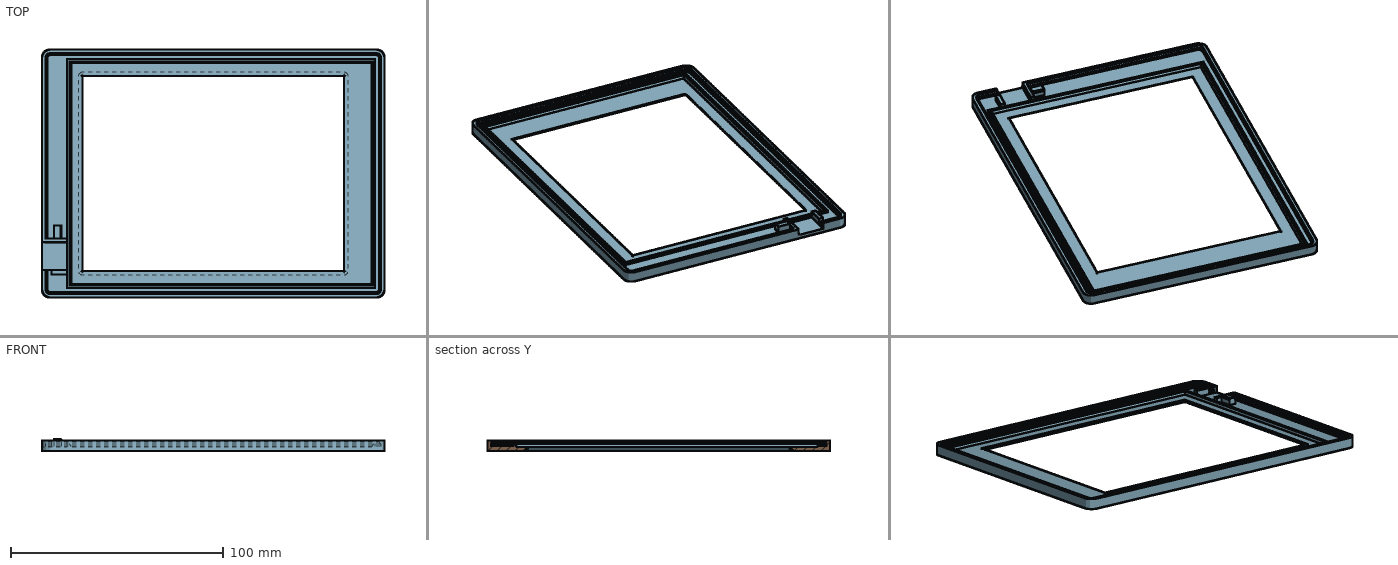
import cadquery as cq
import math

length = 161.4
width = 116.9
frame_height = 5.0
corner_radius = 4.0
bead_reach = 0.8
seat_slope = 0.8
cove_radius = 1.0

screen_floor = 2.0
notch_floor = 2.0
pocket_floor = 2.5
ridge_top = 3.2

rim = 1.8
window_margin_x = 19.2
window_margin_y = 12.6

ridge_left = 12.0
ridge_right = length - 4.7
ridge_margin_y = 4.5
ridge_thickness = 1.1
ridge_right_thickness = 0.6

notch_start = 13.0
notch_end = 26.1
upper_bar_end = 28.0
lower_bar_start = 11.0
lower_bar_left = 4.5

post_left = 5.6
post_right = 9.4
post_chamfer = 0.6
post_end = 33.9
post_top = 5.6


def block(x_range, y_range, z_range):
    """Box filling the given X, Y and Z ranges."""
    size = [end - start for start, end in (x_range, y_range, z_range)]
    corner = (x_range[0], y_range[0], z_range[0])
    return cq.Workplane("XY").box(*size, centered=False).translate(corner)


def tapered_opening(x_range, y_range, z_range, spread, top_radius=0):
    """Opening whose sides grow outward by `spread` from the bottom to the top."""
    height = z_range[1] - z_range[0]
    size = [end - start for start, end in (x_range, y_range)]
    outline = cq.Sketch().rect(*size)
    if top_radius:
        outline = outline.vertices().fillet(top_radius)
    taper = math.degrees(math.atan2(spread, height))
    opening = cq.Workplane("XY").placeSketch(outline).extrude(-height, taper=taper)
    return opening.translate((sum(x_range) / 2, sum(y_range) / 2, z_range[1]))


def make_tray():
    """Rounded plate with a pocket and a 45 degree snap bead around its mouth."""
    plate = block((0, length), (0, width), (0, frame_height))
    plate = plate.edges("|Z").fillet(corner_radius)
    x_range = (rim, length - rim)
    y_range = (rim, width - rim)
    inner_radius = corner_radius - rim
    pocket = block(x_range, y_range, (pocket_floor, frame_height)).edges("|Z").fillet(inner_radius)

    bead_apex = frame_height - bead_reach
    bead_bottom = bead_apex - bead_reach
    bead = block(x_range, y_range, (bead_bottom, frame_height)).edges("|Z").fillet(inner_radius)
    mouth = tapered_opening(x_range, y_range, (bead_apex, frame_height), bead_reach, inner_radius)
    undercut = mouth.mirror("XY", (0, 0, bead_apex))
    bead = bead.cut(mouth).cut(undercut)
    return plate.cut(pocket).union(bead)


def make_ridge_and_seat():
    """Raised border and the slope-sided screen seat to be cut from it."""
    y_range = (ridge_margin_y, width - ridge_margin_y)
    ridge = block((ridge_left, ridge_right), y_range, (screen_floor, ridge_top))
    seat_x = (ridge_left + ridge_thickness, ridge_right - ridge_right_thickness)
    seat_margin_y = ridge_margin_y + ridge_thickness
    seat_y = (seat_margin_y, width - seat_margin_y)
    return ridge, tapered_opening(seat_x, seat_y, (screen_floor, ridge_top), seat_slope)


def make_window():
    """Through opening bevelled at 45 degrees so that it widens toward the underside."""
    size_x = length - 2 * window_margin_x
    size_y = width - 2 * window_margin_y
    opening = cq.Workplane("XY").rect(size_x, size_y).extrude(-screen_floor, taper=-45)
    return opening.translate((length / 2, width / 2, screen_floor))


def make_notch():
    """Cable passage from the left side to the ridge, coved along its upper wall."""
    notch = block((0, ridge_left), (notch_start, notch_end), (notch_floor, frame_height))
    return notch.edges("<Z and >Y").fillet(cove_radius)


def make_guides():
    """Guide bars beside the notch and the standing post."""
    bar_heights = (notch_floor, frame_height)
    upper_bar = block((rim, ridge_left), (notch_end, upper_bar_end), bar_heights)
    lower_bar = block((lower_bar_left, ridge_left), (lower_bar_start, notch_start), bar_heights)
    post = block((post_left, post_right), (upper_bar_end, post_end), (pocket_floor, post_top))
    post = post.edges(">X and >Z").chamfer(post_chamfer)
    return upper_bar.union(lower_bar).union(post)


ridge, seat = make_ridge_and_seat()
result = make_tray().union(ridge).cut(seat).cut(make_window())
result = result.union(make_guides()).cut(make_notch())